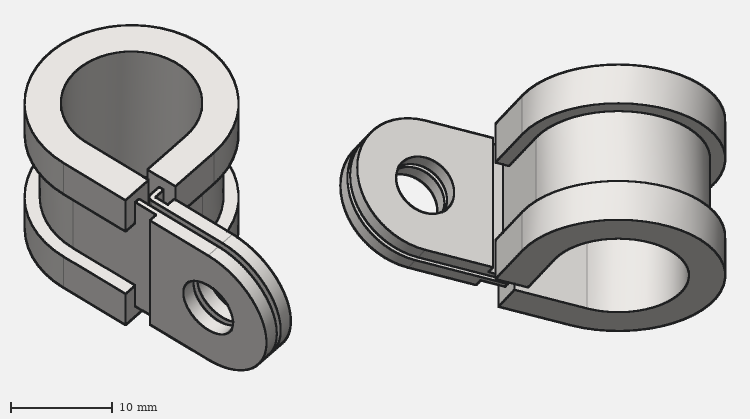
import cadquery as cq
import math


bore_radius = 7.0
cushion_radius = 10.6
cushion_width = 18.0
groove_width = 9.0
lower_leg_length = 8.0
upper_leg_length = 6.0

band_radius = 9.1
band_thickness = 0.6
band_width = 15.0
band_inner_radius = band_radius - band_thickness

tab_thickness = 1.6
tab_gap = 0.6
tab_length = 15.0
hole_diameter = 6.4
tab_end_radius = band_width / 2
tab_tip_x = 25.7
tab_start_x = tab_tip_x - tab_length
tab_hole_x = tab_tip_x - tab_end_radius

lower_tab_face_y = -band_inner_radius
upper_tab_face_y = lower_tab_face_y + tab_gap
bend_radius = band_thickness


def wrap(inner, outer, width, lower_length, upper_length):
    """Three-quarter ring with one straight leg along +X and one along -Y."""
    diagonal = math.sqrt(0.5)
    return (
        cq.Workplane("XY")
        .moveTo(lower_length, -outer)
        .lineTo(0, -outer)
        .threePointArc((-outer, 0), (0, outer))
        .threePointArc((outer * diagonal, outer * diagonal), (outer, 0))
        .lineTo(outer, -upper_length)
        .lineTo(inner, -upper_length)
        .lineTo(inner, 0)
        .threePointArc((inner * diagonal, inner * diagonal), (0, inner))
        .threePointArc((-inner, 0), (0, -inner))
        .lineTo(lower_length, -inner)
        .close()
        .extrude(width / 2, both=True)
    )


def make_cushion():
    """Rubber cushion with an open groove around its outside."""
    legs = (lower_leg_length, upper_leg_length)
    body = wrap(bore_radius, cushion_radius, cushion_width, *legs)
    groove = wrap(band_radius, cushion_radius, groove_width, *legs)
    return body.cut(groove)


def make_band():
    """Metal band, its upper leg turned outward to meet the upper tab."""
    upper_length = -upper_tab_face_y
    bend_edge = cq.selectors.NearestToPointSelector((band_inner_radius, upper_tab_face_y, 0))
    band = wrap(band_inner_radius, band_radius, band_width, tab_start_x, upper_length)
    foot = (
        cq.Workplane("XY")
        .moveTo(band_inner_radius, upper_tab_face_y + band_thickness)
        .lineTo(tab_start_x, upper_tab_face_y + band_thickness)
        .lineTo(tab_start_x, upper_tab_face_y)
        .lineTo(band_inner_radius, upper_tab_face_y)
        .close()
        .extrude(band_width / 2, both=True)
    )
    return band.union(foot).edges(bend_edge).fillet(bend_radius)


def make_tab(bottom_y):
    """Bolt tab with a round end and a through hole, rising from bottom_y."""
    straight_length = tab_hole_x - tab_start_x
    plate = cq.Workplane("XY", origin=(tab_start_x, bottom_y, 0)).box(
        straight_length, tab_thickness, band_width, centered=(False, False, True)
    )
    end_plane = cq.Workplane("XZ", origin=(tab_hole_x, bottom_y, 0))
    round_end = end_plane.circle(tab_end_radius).extrude(-tab_thickness)
    hole = end_plane.circle(hole_diameter / 2).extrude(-tab_thickness)
    return plate.union(round_end).cut(hole)


lower_tab = make_tab(lower_tab_face_y - tab_thickness)
upper_tab = make_tab(upper_tab_face_y)

result = make_cushion().union(make_band()).union(lower_tab).union(upper_tab)